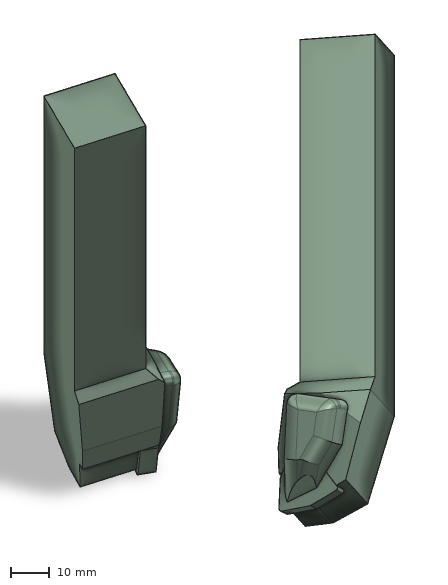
import cadquery as cq
import math

TOOL_LENGTH = 126.4
SHANK = 20.0

SHOULDER_Z = 34.5
SHOULDER_X = 22.7
SHOULDER_DROP = 2.4
HEAD_RIGHT = 25.1
FLANK_TOP_Z = 16.8
NOTCH_Z = 10.0
RELIEF_TOP_X = 23.2
RELIEF_BOTTOM_X = 23.6
HEAD_BOTTOM_Z = 1.8
BEND_X = 16.3
BEND_Z = 2.1
HEEL_X = 7.1
HEEL_Z = 6.6
SLANT_TOP_Z = 29.6

HEAD_DEPTH = 24.8
RAKE_SLOPE_X = 0.09
RAKE_SLOPE_Z = 0.11
RAKE_START_X = 2.7
RAKE_START_Z = 20.8

INSCRIBED_DIAMETER = 12.8
SHARP_ANGLE = 80.0
BLUNT_ANGLE = 160.0
INSERT_THICKNESS = 4.9
NOSE_RADIUS = 0.8
INSERT_X = 18.6
INSERT_Z = 7.0
TIP_DIRECTION = -45.0

CLAMP_HEIGHT = 6.6
CLAMP_ROOT = 1.3
CLAMP_SIDES = [
    (12.6, 28.8, 103, 8),
    (21.9, 27.8, 5, 12),
    (12.0, 6.3, 250, 35),
    (7.7, 15.7, 215, 20),
    (5.8, 25.3, 191, 22),
]
CLAMP_TOP_RADIUS = 4.5
CLAMP_CORNER_RADIUS = 2.5
CLAMP_SLOPE_Z = 11.8
CLAMP_SLOPE_ANGLE = 28.0

CLEAR = 63.2
TOLERANCE = 0.01


def rake_plane(x, z):
    """Plane on the rake face at (x, z); x and y nearly follow X and Z, the normal goes inward."""
    y = HEAD_DEPTH - RAKE_SLOPE_X * (x - RAKE_START_X) + RAKE_SLOPE_Z * (z - RAKE_START_Z)
    return cq.Plane(origin=(x, y, z), xDir=(1, -RAKE_SLOPE_X, 0), normal=(-RAKE_SLOPE_X, -1, RAKE_SLOPE_Z))


def make_shank():
    base = cq.Workplane("XY", origin=(0, 0, SHOULDER_Z))
    return base.rect(SHANK, SHANK, centered=False).extrude(TOOL_LENGTH - SHOULDER_Z)


def make_head():
    outline = [
        (0, SHOULDER_Z),
        (SHANK, SHOULDER_Z),
        (SHOULDER_X, SHOULDER_Z - SHOULDER_DROP),
        (HEAD_RIGHT, FLANK_TOP_Z),
        (HEAD_RIGHT, NOTCH_Z),
        (RELIEF_TOP_X, NOTCH_Z),
        (RELIEF_BOTTOM_X, HEAD_BOTTOM_Z),
        (BEND_X, BEND_Z),
        (HEEL_X, HEEL_Z),
        (0, SLANT_TOP_Z),
    ]
    head = cq.Workplane("XZ").polyline(outline).close().extrude(-HEAD_DEPTH)
    rake = rake_plane(RAKE_START_X, RAKE_START_Z)
    above_rake = cq.Workplane(rake).rect(2 * CLEAR, 2 * CLEAR).extrude(-CLEAR)

    step = HEAD_DEPTH - SHANK
    shoulder_outline = [(SHANK, SHOULDER_Z), (HEAD_DEPTH, SHOULDER_Z), (HEAD_DEPTH, SHOULDER_Z - step)]
    above_shoulder = cq.Workplane("YZ").polyline(shoulder_outline).close().extrude(CLEAR)
    return head.cut(above_rake).cut(above_shoulder)


def block_outside(rake, point, facing, lean):
    """Block beyond a flat face through a local point; facing turns it in the rake plane, lean tilts it."""
    turn = math.radians(facing)
    tilt = math.radians(lean)
    level = rake.xDir * math.cos(turn) + rake.yDir * math.sin(turn)
    normal = level * math.cos(tilt) - rake.zDir * math.sin(tilt)
    face = cq.Plane(origin=rake.toWorldCoords(point), normal=normal)
    return cq.Workplane(face).rect(2 * CLEAR, 2 * CLEAR).extrude(CLEAR)


def make_clamp():
    rake = rake_plane(0, 0)
    root = cq.Workplane(rake).workplane(offset=CLAMP_ROOT)
    clamp = root.rect(CLEAR, CLEAR).extrude(-CLAMP_HEIGHT - CLAMP_ROOT)
    for x, z, facing, draft in CLAMP_SIDES:
        clamp = clamp.cut(block_outside(rake, (x, z, 0), facing, draft))
    slope_start = (0, CLAMP_SLOPE_Z, -CLAMP_HEIGHT)
    clamp = clamp.cut(block_outside(rake, slope_start, 270, 90 - CLAMP_SLOPE_ANGLE))

    def edge_ends(edge):
        """Heights above the rake plane and positions along the clamp of both ends of an edge."""
        ends = [rake.toLocalCoords(end) for end in (edge.startPoint(), edge.endPoint())]
        return [-end.z for end in ends], [end.y for end in ends]

    def is_rim(edge):
        heights, places = edge_ends(edge)
        is_crease = max(places) < CLAMP_SLOPE_Z + TOLERANCE and min(heights) > CLAMP_HEIGHT - TOLERANCE
        return max(heights) > CLAMP_HEIGHT - TOLERANCE and min(heights) > 0 and not is_crease

    def is_back_corner(edge):
        heights, places = edge_ends(edge)
        rises_from_root = min(heights) < TOLERANCE - CLAMP_ROOT and max(heights) > 0
        return rises_from_root and min(places) > RAKE_START_Z

    rim = [edge for edge in clamp.edges().vals() if is_rim(edge)]
    clamp = clamp.newObject(rim).fillet(CLAMP_TOP_RADIUS)
    corners = [edge for edge in clamp.edges().vals() if is_back_corner(edge)]
    return clamp.newObject(corners).fillet(CLAMP_CORNER_RADIUS)


def make_insert():
    plane = rake_plane(INSERT_X, INSERT_Z)
    inscribed_radius = INSCRIBED_DIAMETER / 2
    sharp_reach = inscribed_radius / math.sin(math.radians(SHARP_ANGLE / 2))
    blunt_reach = inscribed_radius / math.sin(math.radians(BLUNT_ANGLE / 2))
    corners = []
    for step in range(6):
        reach = sharp_reach if step % 2 == 0 else blunt_reach
        angle = math.radians(TIP_DIRECTION + 60 * step)
        corners.append((reach * math.cos(angle), reach * math.sin(angle)))
    blank = cq.Workplane(plane).polyline(corners).close().extrude(INSERT_THICKNESS)

    def is_sharp(edge):
        centre = plane.toLocalCoords(edge.Center())
        return math.hypot(centre.x, centre.y) > (sharp_reach + blunt_reach) / 2

    upright = blank.edges(cq.selectors.ParallelDirSelector(plane.zDir)).vals()
    return blank.newObject([edge for edge in upright if is_sharp(edge)]).fillet(NOSE_RADIUS)


insert = make_insert()
holder = make_shank().union(make_head()).union(make_clamp()).cut(insert).solids()

result = cq.Compound.makeCompound([holder.val(), insert.val()])